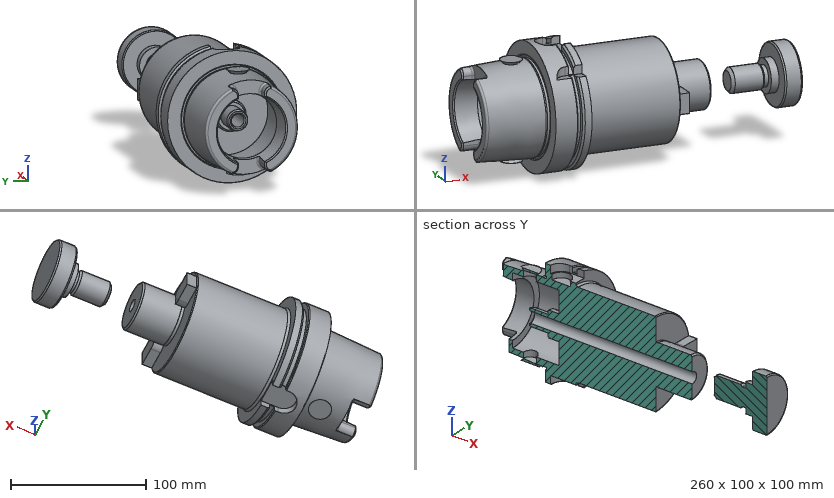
import cadquery as cq
import math

TOTAL_LENGTH = 260.0

SHANK_MOUTH_RADIUS = 35.5
SHANK_BASE_RADIUS = 38.0
SHANK_TAPER_END = 47.0
SHANK_RIM_FILLET = 1.8
RELIEF_DEPTH = 0.5
RELIEF_RUN = 1.3

FLANGE_START = 49.7
FLANGE_END = 78.8
FLANGE_RADIUS = 100.0 / 2
FACE_GROOVE_RADIUS = 39.8
FACE_GROOVE_DEPTH = 0.8
GRIP_GROOVE_RADIUS = 45.2
GRIP_GROOVE_START = 67.9
GRIP_GROOVE_END = 71.8
GRIP_BEVEL_REAR = 0.8
GRIP_BEVEL_FRONT = 1.5

BODY_RADIUS = 80.5 / 2
BODY_END = 154.7
BODY_CHAMFER = 0.8
COLLAR_END = 80.9
COLLAR_STEP = 1.0
SPIGOT_RADIUS = 38.2 / 2
SPIGOT_END = 189.0
SPIGOT_CHAMFER = 1.3
SPIGOT_RELIEF_RADIUS = 37.7 / 2
SPIGOT_RELIEF_LENGTH = 2.3

BORE_MOUTH_RADIUS = 26.5
BORE_MOUTH_CHAMFER = 1.0
BORE_LIP_X = 19.0
BORE_LIP_RADIUS = 25.0
BORE_FLOOR = 62.5
TUBE_COLLAR_RADIUS = 24.0 / 2
TUBE_COLLAR_START = 52.0
TUBE_COLLAR_CHAMFER = 1.3
TUBE_RADIUS = 16.0 / 2
TUBE_TIP = 34.5
TUBE_TIP_BEVEL_LENGTH = 2.3
TUBE_TIP_BEVEL_DEPTH = 0.8
COOLANT_RADIUS = 10.0 / 2
COOLANT_MOUTH_RADIUS = 12.0 / 2

CLAMP_GROOVE_RADIUS = 31.5

DRIVE_SLOT_WIDTH = 20.0
DRIVE_SLOT_DEPTH_TOP = 9.5
DRIVE_SLOT_DEPTH_BOTTOM = 15.0
DRIVE_SLOT_STRAIGHT_HEIGHT = 27.0
DRIVE_SLOT_FLARE_RADIUS = 5.2
DRIVE_SLOT_CORNER_FILLET = 1.5
DRIVE_SLOT_MOUTH_CHAMFER = 1.3
DRIVE_SLOT_BEVEL_ANGLE = 45

CROSS_HOLE_X = 35.0
CROSS_HOLE_RADIUS = 12.0 / 2
CROSS_HOLE_SINK_START = 36.7
CROSS_HOLE_SINK_DEPTH = 2.5

KEYWAY_WIDTH = 19.5
KEYWAY_CENTER_X = 64.7
KEYWAY_FLOOR = 43.0
CHIP_HOLE_RADIUS = 17.0 / 2
CHIP_HOLE_DEPTH = 4.7
NOTCH_FLOOR = 31.7

KEY_WIDTH = 16.0
KEY_END = 162.5
KEY_OUTER = 38.7
KEY_INNER = 15.5
KEY_ROOT_DEPTH = 2.5

SCREW_START = 209.5
SCREW_TIP_RADIUS = 15.3 / 2
SCREW_TIP_CHAMFER_LENGTH = 2.3
THREAD_RADIUS = 20.0 / 2
THREAD_END = 234.8
NECK_RADIUS = 17.0 / 2
NECK_START = 236.3
COLLAR_START = 239.5
COLLAR_RADIUS = 27.0 / 2
HEAD_START = 245.7
HEAD_RADIUS = 50.0 / 2
HEAD_BEVEL_LENGTH = 1.3
HEAD_BEVEL_DEPTH = 0.8


def revolve_about_x(points):
    """Revolve a closed (x, radius) outline about the X axis."""
    return cq.Workplane("XY").polyline(points).close().revolve(360, (0, 0, 0), (1, 0, 0))


def arbor_blank():
    """Outside of the arbor: shank, flange, body and spigot."""
    relief_radius = SHANK_BASE_RADIUS - RELIEF_DEPTH
    groove_floor_x = FLANGE_START + FACE_GROOVE_DEPTH
    grip_rear = GRIP_GROOVE_START - GRIP_BEVEL_REAR
    grip_front = GRIP_GROOVE_END + GRIP_BEVEL_FRONT
    spigot_start = BODY_END + SPIGOT_RELIEF_LENGTH
    blank = revolve_about_x([
        (0, 0),
        (0, SHANK_MOUTH_RADIUS),
        (SHANK_TAPER_END, SHANK_BASE_RADIUS),
        (SHANK_TAPER_END + RELIEF_RUN, relief_radius),
        (groove_floor_x, relief_radius),
        (groove_floor_x, FACE_GROOVE_RADIUS - FACE_GROOVE_DEPTH),
        (FLANGE_START, FACE_GROOVE_RADIUS),
        (FLANGE_START, FLANGE_RADIUS),
        (grip_rear, FLANGE_RADIUS),
        (GRIP_GROOVE_START, FLANGE_RADIUS - GRIP_BEVEL_REAR),
        (GRIP_GROOVE_START, GRIP_GROOVE_RADIUS),
        (GRIP_GROOVE_END, GRIP_GROOVE_RADIUS),
        (GRIP_GROOVE_END, FLANGE_RADIUS - GRIP_BEVEL_FRONT),
        (grip_front, FLANGE_RADIUS),
        (FLANGE_END, FLANGE_RADIUS),
        (FLANGE_END, BODY_RADIUS + COLLAR_STEP),
        (COLLAR_END, BODY_RADIUS),
        (BODY_END - BODY_CHAMFER, BODY_RADIUS),
        (BODY_END, BODY_RADIUS - BODY_CHAMFER),
        (BODY_END, SPIGOT_RELIEF_RADIUS),
        (spigot_start, SPIGOT_RELIEF_RADIUS),
        (spigot_start, SPIGOT_RADIUS),
        (SPIGOT_END - SPIGOT_CHAMFER, SPIGOT_RADIUS),
        (SPIGOT_END, SPIGOT_RADIUS - SPIGOT_CHAMFER),
        (SPIGOT_END, 0),
    ])
    return blank.faces("<X").edges().fillet(SHANK_RIM_FILLET)


def bore_cutter():
    """Space inside the shank around the coolant tube: a lip, then a wider clamping groove behind it."""
    return revolve_about_x([
        (0, 0),
        (0, BORE_MOUTH_RADIUS + BORE_MOUTH_CHAMFER),
        (BORE_MOUTH_CHAMFER, BORE_MOUTH_RADIUS),
        (BORE_LIP_X, BORE_LIP_RADIUS),
        (BORE_LIP_X, CLAMP_GROOVE_RADIUS),
        (BORE_FLOOR, CLAMP_GROOVE_RADIUS),
        (BORE_FLOOR, TUBE_COLLAR_RADIUS),
        (TUBE_COLLAR_START + TUBE_COLLAR_CHAMFER, TUBE_COLLAR_RADIUS),
        (TUBE_COLLAR_START, TUBE_COLLAR_RADIUS - TUBE_COLLAR_CHAMFER),
        (TUBE_COLLAR_START, TUBE_RADIUS),
        (TUBE_TIP + TUBE_TIP_BEVEL_LENGTH, TUBE_RADIUS),
        (TUBE_TIP, TUBE_RADIUS - TUBE_TIP_BEVEL_DEPTH),
        (TUBE_TIP, 0),
    ])


def coolant_cutter():
    """Coolant passage along the whole axis, chamfered where it enters the tube."""
    mouth_chamfer = COOLANT_MOUTH_RADIUS - COOLANT_RADIUS
    return revolve_about_x([
        (TUBE_TIP, 0),
        (TUBE_TIP, COOLANT_MOUTH_RADIUS),
        (TUBE_TIP + mouth_chamfer, COOLANT_RADIUS),
        (SPIGOT_END, COOLANT_RADIUS),
        (SPIGOT_END, 0),
    ])


def drive_slot_outline(offset):
    """Slot cross-section on a YZ plane: straight walls that flare outward in a round."""
    half = DRIVE_SLOT_WIDTH / 2 + offset
    radius = DRIVE_SLOT_FLARE_RADIUS - offset
    arc_mid = radius * math.sqrt(0.5)
    base = DRIVE_SLOT_STRAIGHT_HEIGHT
    reach = half + radius
    top = FLANGE_RADIUS
    return (
        cq.Workplane("YZ")
        .moveTo(-half, 0)
        .lineTo(-half, base)
        .threePointArc((-reach + arc_mid, base + arc_mid), (-reach, base + radius))
        .lineTo(-reach, top)
        .lineTo(reach, top)
        .lineTo(reach, base + radius)
        .threePointArc((reach - arc_mid, base + arc_mid), (half, base))
        .lineTo(half, 0)
        .close()
    )


def drive_slot_cutter(depth):
    """Slot open at the shank mouth on the +Z side, rounded at its floor."""
    slot = drive_slot_outline(0).extrude(depth)
    return slot.faces(">X").edges("%CIRCLE").fillet(DRIVE_SLOT_CORNER_FILLET)


def drive_slot_bevel():
    """Bevel around the mouth of a drive slot."""
    outline = drive_slot_outline(DRIVE_SLOT_MOUTH_CHAMFER)
    return outline.extrude(DRIVE_SLOT_MOUTH_CHAMFER, taper=DRIVE_SLOT_BEVEL_ANGLE)


def flange_slot_cutter(floor):
    """Slot on the +Z side, centred on Y = 0, round at its rear end and open toward the body."""
    height = FLANGE_RADIUS - floor
    length = FLANGE_END - KEYWAY_CENTER_X
    rear_end = cq.Workplane("XY").circle(KEYWAY_WIDTH / 2).extrude(height)
    channel = cq.Workplane("XY").box(length, KEYWAY_WIDTH, height, centered=(False, True, False))
    return rear_end.union(channel).translate((KEYWAY_CENTER_X, 0, floor))


def chip_hole_cutter():
    """Shallow round pocket in the floor of the upper keyway."""
    return (
        cq.Workplane("XY", origin=(KEYWAY_CENTER_X, 0, KEYWAY_FLOOR - CHIP_HOLE_DEPTH))
        .circle(CHIP_HOLE_RADIUS)
        .extrude(CHIP_HOLE_DEPTH)
    )


def cross_hole_cutter():
    """Radial hole through the +Z shank wall with a slight 45 degree countersink."""
    rim = CROSS_HOLE_SINK_START + CROSS_HOLE_SINK_DEPTH
    profile = cq.Workplane("XZ").polyline([
        (0, BORE_LIP_RADIUS),
        (CROSS_HOLE_RADIUS, BORE_LIP_RADIUS),
        (CROSS_HOLE_RADIUS, CROSS_HOLE_SINK_START),
        (CROSS_HOLE_RADIUS + CROSS_HOLE_SINK_DEPTH, rim),
        (0, rim),
    ])
    hole = profile.close().revolve(360, (0, 0, 0), (0, 1, 0))
    return hole.translate((CROSS_HOLE_X, 0, 0))


def drive_key(side):
    """Key on the body's end face with a round inner end, on the +Y (1) or -Y (-1) side."""
    root_x = BODY_END - KEY_ROOT_DEPTH
    half = KEY_WIDTH / 2
    nose_center = KEY_INNER + half
    outline = (
        cq.Workplane("YZ", origin=(root_x, 0, 0))
        .moveTo(side * KEY_OUTER, -half)
        .lineTo(side * nose_center, -half)
        .threePointArc((side * KEY_INNER, 0), (side * nose_center, half))
        .lineTo(side * KEY_OUTER, half)
        .close()
    )
    return outline.extrude(KEY_END - root_x)


def make_arbor():
    """Complete arbor; the cross holes are cut first, while the shank is still solid."""
    arbor = arbor_blank()
    for side in (1, -1):
        arbor = arbor.union(drive_key(side))
    arbor = arbor.cut(cross_hole_cutter()).cut(cross_hole_cutter().mirror("XY"))
    arbor = arbor.cut(bore_cutter()).cut(coolant_cutter())
    arbor = arbor.cut(drive_slot_cutter(DRIVE_SLOT_DEPTH_TOP)).cut(drive_slot_bevel())
    arbor = arbor.cut(drive_slot_cutter(DRIVE_SLOT_DEPTH_BOTTOM).mirror("XY"))
    arbor = arbor.cut(drive_slot_bevel().mirror("XY"))
    arbor = arbor.cut(flange_slot_cutter(KEYWAY_FLOOR))
    arbor = arbor.cut(flange_slot_cutter(KEYWAY_FLOOR).mirror("XY"))
    arbor = arbor.cut(chip_hole_cutter())
    notch_y = -(NOTCH_FLOOR + KEYWAY_WIDTH / 2)
    return arbor.cut(flange_slot_cutter(NOTCH_FLOOR).translate((0, notch_y, 0)))


def make_screw():
    """Clamping screw: chamfered thread, neck, collar and bevelled round head."""
    return revolve_about_x([
        (SCREW_START, 0),
        (SCREW_START, SCREW_TIP_RADIUS),
        (SCREW_START + SCREW_TIP_CHAMFER_LENGTH, THREAD_RADIUS),
        (THREAD_END, THREAD_RADIUS),
        (NECK_START, NECK_RADIUS),
        (COLLAR_START, NECK_RADIUS),
        (COLLAR_START, COLLAR_RADIUS),
        (HEAD_START, COLLAR_RADIUS),
        (HEAD_START, HEAD_RADIUS - HEAD_BEVEL_DEPTH),
        (HEAD_START + HEAD_BEVEL_LENGTH, HEAD_RADIUS),
        (TOTAL_LENGTH - HEAD_BEVEL_LENGTH, HEAD_RADIUS),
        (TOTAL_LENGTH, HEAD_RADIUS - HEAD_BEVEL_DEPTH),
        (TOTAL_LENGTH, 0),
    ])


arbor = make_arbor()
screw = make_screw()
result = cq.Compound.makeCompound([arbor.val(), screw.val()])